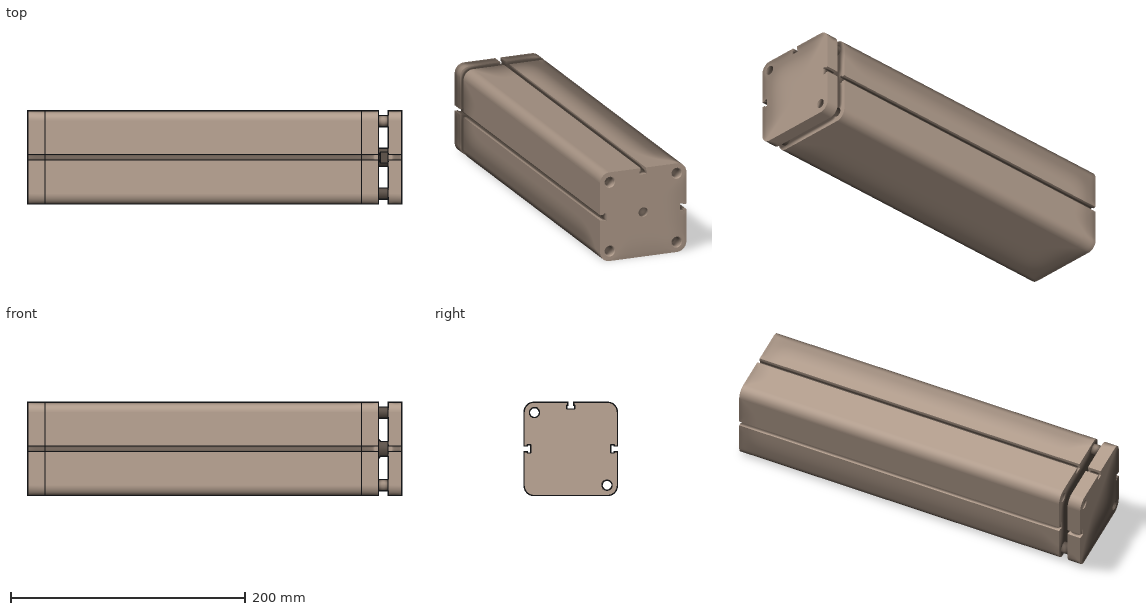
import cadquery as cq

length = 319.5
side = 80.0
corner_radius = 8.5

cap_length = 14.7
housing_length = 299.7
plate_thickness = 11.8
front_cap_start = housing_length - cap_length
plate_start = length - plate_thickness

slot_mouth_width = 4.8
slot_inner_width = 6.7
slot_mouth_depth = 3.0
slot_depth = 5.8
slot_turns = (0, 90, -90)

corner_offset = 31.0
corner_hole_diameter = 8.3
corner_chamfer = 0.8
corner_hole_depth = 12.8
guide_diameter = 10.0
center_hole_diameter = 8.5
center_hole_depth = 3.8

rod_diameter = 16.0
flat_width = 12.8
flat_start = 0.3
flat_runout = 1.3

through_corners = [(-corner_offset, corner_offset), (corner_offset, -corner_offset)]
guide_corners = [(corner_offset, corner_offset), (-corner_offset, -corner_offset)]


def bar(start, end, diameter, center=(0, 0)):
    """Round bar along X, also used as a cutter for holes."""
    return cq.Workplane("YZ", origin=(start, *center)).circle(diameter / 2).extrude(end - start)


def t_slot(start, end):
    """Cutter for the T-slot in the top face."""
    top = side / 2
    mouth = slot_mouth_width / 2
    inner = slot_inner_width / 2
    ledge = top - slot_mouth_depth
    floor = top - slot_depth
    return (
        cq.Workplane("YZ", origin=(start, 0, 0))
        .polyline([
            (-mouth, top), (mouth, top), (mouth, ledge), (inner, ledge),
            (inner, floor), (-inner, floor), (-inner, ledge), (-mouth, ledge),
        ])
        .close()
        .extrude(end - start)
    )


def slotted_block(start, end):
    """Square block with round corners and three T-slots."""
    block = (
        cq.Workplane("YZ", origin=(start, 0, 0))
        .rect(side, side)
        .extrude(end - start)
        .edges("|X")
        .fillet(corner_radius)
    )
    for turn in slot_turns:
        block = block.cut(t_slot(start, end).rotate((0, 0, 0), (1, 0, 0), turn))
    return block


def countersink(start, center):
    """Cone that widens a corner hole at the rear face."""
    return (
        cq.Workplane("YZ", origin=(start, *center))
        .circle(corner_hole_diameter / 2 + corner_chamfer)
        .workplane(offset=corner_chamfer)
        .circle(corner_hole_diameter / 2)
        .loft()
    )


def make_rear_cap():
    cap = slotted_block(0, cap_length)
    cap = cap.cut(bar(0, center_hole_depth, center_hole_diameter))
    for center in through_corners:
        cap = cap.cut(bar(0, cap_length, corner_hole_diameter, center))
    for center in guide_corners:
        cap = cap.cut(bar(0, corner_hole_depth, corner_hole_diameter, center))
    for center in through_corners + guide_corners:
        cap = cap.cut(countersink(0, center))
    return cap


def make_tube():
    tube = slotted_block(cap_length, front_cap_start)
    for center in through_corners:
        tube = tube.cut(bar(cap_length, front_cap_start, corner_hole_diameter, center))
    return tube


def make_front_cap():
    cap = slotted_block(front_cap_start, housing_length)
    for center in through_corners:
        cap = cap.cut(bar(front_cap_start, housing_length, corner_hole_diameter, center))
    for center in guide_corners:
        cap = cap.cut(bar(front_cap_start, housing_length, guide_diameter, center))
    return cap.cut(bar(front_cap_start, housing_length, rod_diameter))


def make_yoke():
    """End plate with its two guide rods."""
    yoke = slotted_block(plate_start, length)
    for center in through_corners:
        yoke = yoke.cut(bar(plate_start, length, corner_hole_diameter, center))
    for center in guide_corners:
        yoke = yoke.union(bar(front_cap_start, plate_start, guide_diameter, center))
    return yoke


def make_piston_rod():
    """Rod with two wrench flats that run out in a slope."""
    rod = bar(front_cap_start, plate_start, rod_diameter)
    slope_start = housing_length + flat_start
    half = rod_diameter / 2
    cutter = (
        cq.Workplane("XZ", origin=(0, half, 0))
        .polyline([
            (slope_start, half),
            (slope_start + flat_runout, flat_width / 2),
            (plate_start, flat_width / 2),
            (plate_start, half),
        ])
        .close()
        .extrude(rod_diameter)
    )
    return rod.cut(cutter).cut(cutter.mirror("XY"))


rear_cap = make_rear_cap()
tube = make_tube()
front_cap = make_front_cap()
yoke = make_yoke()
piston_rod = make_piston_rod()

result = cq.Compound.makeCompound(
    [rear_cap.val(), tube.val(), front_cap.val(), yoke.val(), piston_rod.val()]
)